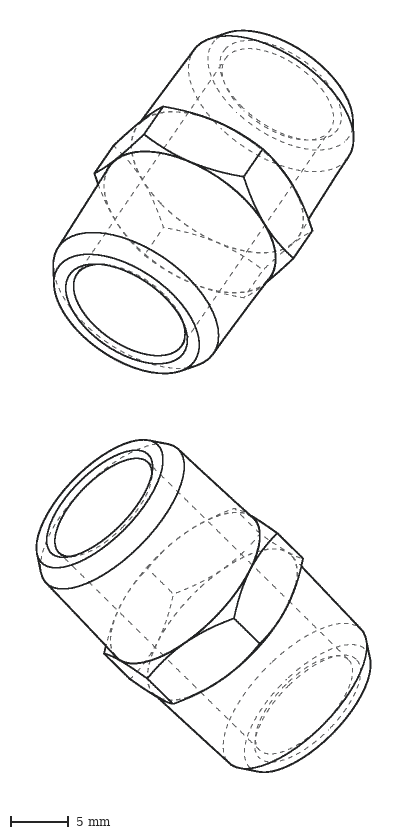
import cadquery as cq
import math

total_length = 28.0
hex_across_flats = 17.0
hex_width = 5.0
hex_sides = 6
hex_chamfer_angle = 30.0

thread_taper = 1 / 16
root_diameter = 16.93
end_chamfer_length = 1.7
end_chamfer_angle = 30.0

bore_diameter = 11.0
bore_chamfer = 0.5

half_length = total_length / 2
half_hex_width = hex_width / 2
hex_across_corners = hex_across_flats / math.cos(math.pi / hex_sides)


def revolve_about_y(profile_points):
    """Revolve a closed (radius, y) outline around the Y axis."""
    profile = cq.Workplane("XY").polyline(profile_points).close()
    return profile.revolve(360, (0, 0, 0), (0, 1, 0))


def make_hexagon():
    """Hexagon with corners on the X axis and both faces chamfered conically."""
    prism = (
        cq.Workplane("XZ")
        .polygon(hex_sides, hex_across_corners)
        .extrude(half_hex_width, both=True)
    )
    face_radius = hex_across_flats / 2
    corner_radius = hex_across_corners / 2
    chamfer_depth = (corner_radius - face_radius) * math.tan(math.radians(hex_chamfer_angle))
    corner_y = half_hex_width - chamfer_depth
    chamfer_envelope = revolve_about_y([
        (0, -half_hex_width),
        (face_radius, -half_hex_width),
        (corner_radius, -corner_y),
        (corner_radius, corner_y),
        (face_radius, half_hex_width),
        (0, half_hex_width),
    ])
    return prism.intersect(chamfer_envelope)


def make_spigots():
    """Both tapered spigots as one body running through the hexagon."""
    root_radius = root_diameter / 2
    taper_end_y = half_length - end_chamfer_length
    taper_length = taper_end_y - half_hex_width
    taper_end_radius = root_radius - taper_length * thread_taper / 2
    tip_radius = taper_end_radius - end_chamfer_length * math.tan(math.radians(end_chamfer_angle))
    return revolve_about_y([
        (0, -half_length),
        (tip_radius, -half_length),
        (taper_end_radius, -taper_end_y),
        (root_radius, -half_hex_width),
        (root_radius, half_hex_width),
        (taper_end_radius, taper_end_y),
        (tip_radius, half_length),
        (0, half_length),
    ])


def make_bore():
    """Through bore, countersunk at both ends."""
    bore_radius = bore_diameter / 2
    mouth_radius = bore_radius + bore_chamfer
    straight_end_y = half_length - bore_chamfer
    return revolve_about_y([
        (0, -half_length),
        (mouth_radius, -half_length),
        (bore_radius, -straight_end_y),
        (bore_radius, straight_end_y),
        (mouth_radius, half_length),
        (0, half_length),
    ])


result = make_hexagon().union(make_spigots()).cut(make_bore())